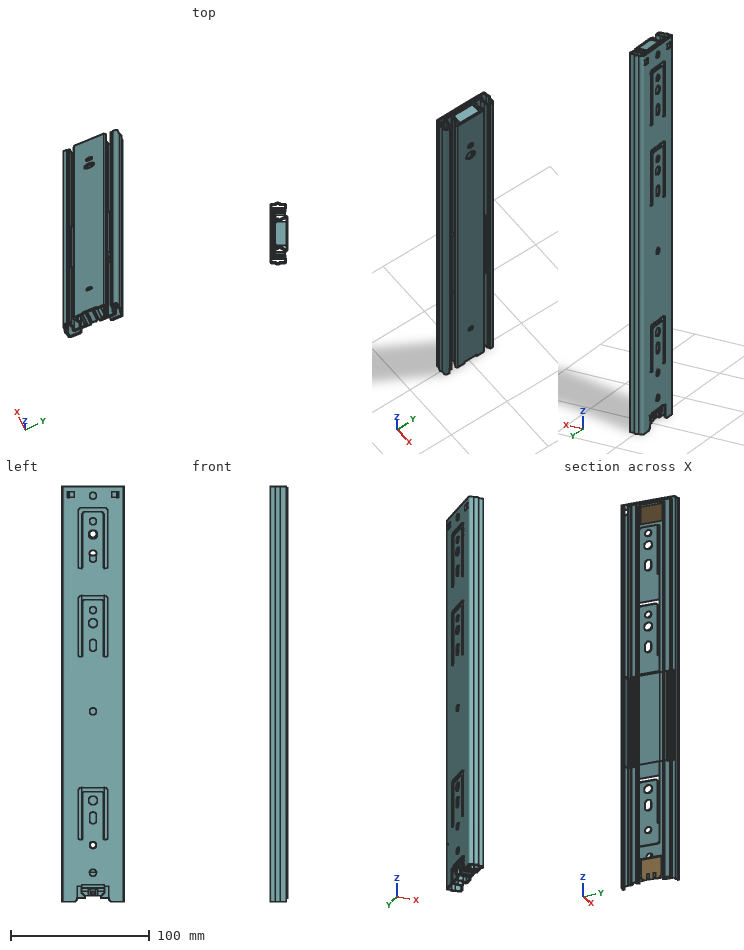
import cadquery as cq


length = 300.0
thickness = 12.7
width = 44.98
sheet = 1.2
race_x = 5.45
race_depth = 0.8
race_width = 3.8

outer_flange_y = width / 2 - race_depth
outer_depth = 11.6
outer_bend = 1.6
lip_y = 18.2

middle_web_x = 2.1
middle_flange_y = 17.2
middle_depth_x = 11.2
middle_bottom = 2.7
foot_opening_y = 5.5
latch_opening_y = 8.4
latch_opening_top = 10.3
latch_slant_bottom = 3.7
latch_slant_top = 6.6
window_half_width = 8.2
window_bottom = 30.0
window_top = 281.0
window_corner = 2.0

inner_bottom = middle_bottom
inner_top = length - 0.9
inner_web_y = 13.0
inner_flange_y = 11.2
inner_flange_x = 8.5
inner_edge_x = 4.2
inner_corner = 1.2
inner_race_x = 6.8
inner_opening_top = 4.3

screw_hole = 5.0
large_hole = 6.4
slot_length = 8.6
screw_hole_heights = (293.2, 274.7, 210.6, 137.5, 41.0, 21.0)
large_hole_heights = (265.2, 201.2, 73.2)
slot_heights = (249.5, 185.2, 60.6)
inner_top_hole_z = 265.6
inner_bottom_hole = 4.4
inner_bottom_hole_z = screw_hole_heights[4]
inner_access_hole = 8.0
inner_access_hole_z = 254.0

tongue_spans = ((240.8, 284.5), (177.0, 221.0), (45.0, 82.5))
tongue_half_width = 10.7
tongue_leg_width = 3.3
tongue_bridge_height = 2.9
tongue_corner = 2.4
tongue_inner_corner = 1.4
tongue_leg_corner = 1.2

edge_window_y = 16.2
edge_window_width = 5.0
edge_window_height = 4.0
edge_window_z = 294.0

notch_half_width = 11.4
notch_height = 11.4
notch_step_half_width = 8.1
notch_step_height = 12.4
notch_flare = 1.5

retainer_sheet = 0.5
retainer_bottom = 95.0
retainer_top = 165.0
retainer_clearance = 0.2
outer_retainer_y = 18.7
outer_retainer_end_x = 9.3
inner_retainer_y = 15.0
inner_retainer_end_x = 10.8

buffer_half_width = 8.7
buffer_back_x = 3.5
buffer_chamfer = 1.0
buffer_bottom = 285.0

stop_half_width = 8.0
stop_bottom = 4.3
stop_top = 21.3
stop_back_x = 5.0
stop_latch_x = 0.9
stop_latch_top = 9.8
stop_slit_y = 2.7
stop_slit_width = 1.6
stop_slit_top = 9.0
stop_bevel = 2.2
stop_step = 0.5
stop_step_z = 7.7
tab_setback = 1.5
tab_slope_bottom = 7.4
tab_slope_top = 9.4
nub_radius = 1.1
nub_z = 6.3


def block(x_from, x_to, y_from, y_to, z_from, z_to):
    size = (x_to - x_from, y_to - y_from, z_to - z_from)
    return cq.Workplane("XY").box(*size, centered=False).translate((x_from, y_from, z_from))


def rod(x, y, radius, z_from, z_to):
    return cq.Workplane("XY").center(x, y).circle(radius).extrude(z_to - z_from).translate((0, 0, z_from))


def holes_along_x(heights, diameter):
    points = [(0, z) for z in heights]
    return cq.Workplane("YZ").pushPoints(points).circle(diameter / 2).extrude(thickness)


def slots_along_x(heights):
    points = [(0, z) for z in heights]
    return cq.Workplane("YZ").pushPoints(points).slot2D(slot_length, screw_hole, 90).extrude(thickness)


race_radius = ((race_width / 2) ** 2 + race_depth ** 2) / (2 * race_depth)


def press_race(rail, center_x, flange_y, direction, z_from, z_to):
    """Press a ball race into both flanges: direction +1 bulges outward, -1 inward.

    flange_y is the half-width of the flange face on the side that bulges."""
    axis_y = flange_y + direction * (race_depth - race_radius)
    for side in (-1, 1):
        bulge = rod(center_x, side * axis_y, race_radius, z_from, z_to)
        groove = rod(center_x, side * axis_y, race_radius - sheet, z_from, z_to)
        face, crest = sorted((flange_y - direction * sheet / 2, flange_y + direction * race_radius))
        near, far = sorted((side * face, side * crest))
        bulge = bulge.intersect(block(0, thickness, near, far, z_from, z_to))
        rail = rail.union(bulge).cut(groove)
    return rail


def tongue_opening(bottom, top):
    """U-shaped opening that leaves a tongue between its two legs."""
    tongue_half = tongue_half_width - tongue_leg_width
    opening = block(0, sheet, -tongue_half_width, tongue_half_width, bottom, top)
    opening = opening.edges("|X and >Z").fillet(tongue_corner)
    tongue = block(0, sheet, -tongue_half, tongue_half, bottom, top - tongue_bridge_height)
    opening = opening.cut(tongue.edges("|X and >Z").fillet(tongue_inner_corner))
    return opening.edges("|X and <Z").fillet(tongue_leg_corner)


def bottom_notch():
    foot = notch_half_width + notch_flare
    points = [
        (-foot, 0), (-notch_half_width, notch_flare), (-notch_half_width, notch_height),
        (-notch_step_half_width, notch_height), (-notch_step_half_width, notch_step_height),
        (notch_step_half_width, notch_step_height), (notch_step_half_width, notch_height),
        (notch_half_width, notch_height), (notch_half_width, notch_flare), (foot, 0),
    ]
    return cq.Workplane("YZ").polyline(points).close().extrude(sheet)


def make_outer_rail():
    inside_y = outer_flange_y - sheet
    rail = block(0, outer_depth, -outer_flange_y, outer_flange_y, 0, length)
    rail = rail.edges("|Z").fillet(outer_bend)
    cavity = block(sheet, outer_depth - sheet, -inside_y, inside_y, 0, length)
    cavity = cavity.edges("|Z").fillet(outer_bend - sheet)
    rail = rail.cut(cavity)
    rail = rail.cut(block(outer_depth - sheet, outer_depth, -lip_y, lip_y, 0, length))
    rail = press_race(rail, race_x, outer_flange_y, 1, 0, length)
    rail = rail.cut(holes_along_x(screw_hole_heights, screw_hole))
    rail = rail.cut(holes_along_x(large_hole_heights, large_hole))
    rail = rail.cut(slots_along_x(slot_heights))
    for bottom, top in tongue_spans:
        rail = rail.cut(tongue_opening(bottom, top))
    edge_windows = (
        cq.Workplane("YZ").pushPoints([(side * edge_window_y, edge_window_z) for side in (-1, 1)])
        .rect(edge_window_width, edge_window_height).extrude(sheet)
    )
    return rail.cut(edge_windows).cut(bottom_notch())


def latch_opening():
    """Opening at the foot of the intermediate web that widens upward around the stop's latch."""
    points = [
        (-foot_opening_y, 0), (-foot_opening_y, latch_slant_bottom), (-latch_opening_y, latch_slant_top),
        (-latch_opening_y, latch_opening_top), (latch_opening_y, latch_opening_top),
        (latch_opening_y, latch_slant_top), (foot_opening_y, latch_slant_bottom), (foot_opening_y, 0),
    ]
    return cq.Workplane("YZ").polyline(points).close().extrude(thickness)


def make_intermediate_rail():
    inside_y = middle_flange_y - sheet
    rail = block(middle_web_x, middle_depth_x, -middle_flange_y, middle_flange_y, middle_bottom, length)
    rail = rail.edges("|Z and <X").fillet(outer_bend)
    rail = rail.cut(block(middle_web_x + sheet, middle_depth_x, -inside_y, inside_y, middle_bottom, length))
    rail = press_race(rail, race_x, inside_y, -1, middle_bottom, length)
    window = block(0, thickness, -window_half_width, window_half_width, window_bottom, window_top)
    rail = rail.cut(window.edges("|X").fillet(window_corner))
    rail = rail.cut(holes_along_x((screw_hole_heights[0], screw_hole_heights[-1]), screw_hole))
    return rail.cut(latch_opening())


def mirrored_profile(half_outline, z_from, z_to):
    """Extrude along Z the outline given by its +Y half and the mirror image of that half."""
    mirrored = [(x, -y) for x, y in reversed(half_outline)]
    profile = cq.Workplane("XY").polyline(half_outline + mirrored).close()
    return profile.extrude(z_to - z_from).translate((0, 0, z_from))


def make_inner_rail():
    inside_y = inner_flange_y - sheet
    web_x = thickness - sheet
    outside = [
        (thickness, inner_web_y - inner_corner), (thickness - inner_corner, inner_web_y),
        (inner_flange_x, inner_flange_y), (inner_edge_x, inner_flange_y),
    ]
    inside = [(web_x, inner_flange_y), (inner_flange_x, inside_y), (inner_edge_x, inside_y)]
    rail = mirrored_profile(outside, inner_bottom, inner_top)
    rail = rail.cut(mirrored_profile(inside, inner_bottom, inner_top))
    rail = press_race(rail, inner_race_x, inside_y, -1, inner_bottom, inner_top)
    rail = rail.cut(holes_along_x((inner_top_hole_z,), screw_hole))
    rail = rail.cut(holes_along_x((inner_bottom_hole_z,), inner_bottom_hole))
    rail = rail.cut(holes_along_x((inner_access_hole_z,), inner_access_hole))
    return rail.cut(block(0, thickness, -foot_opening_y, foot_opening_y, 0, inner_opening_top))


def make_retainer(web_x, end_x, half_width, arm_width):
    """Channel with a thin web and an arm on each side, lying between two rails."""
    retainer = block(web_x, end_x, -half_width, half_width, retainer_bottom, retainer_top)
    inside_y = half_width - arm_width
    return retainer.cut(
        block(web_x + retainer_sheet, end_x, -inside_y, inside_y, retainer_bottom, retainer_top)
    )


def make_buffer():
    buffer = block(
        buffer_back_x, thickness - sheet, -buffer_half_width, buffer_half_width, buffer_bottom, inner_top
    )
    return buffer.edges("|Z and <X").chamfer(buffer_chamfer)


def stop_tab_relief():
    """Space in front of the middle tab, whose face slopes back and then runs down."""
    half_tab = stop_slit_y - stop_slit_width / 2
    tab_x = stop_latch_x + tab_setback
    points = [
        (stop_latch_x, 0), (tab_x, 0), (tab_x, tab_slope_bottom), (stop_latch_x, tab_slope_top),
    ]
    relief = cq.Workplane("XZ").polyline(points).close().extrude(half_tab, both=True)
    nub = cq.Workplane("XY").sphere(nub_radius).translate((tab_x, 0, nub_z))
    return relief.cut(nub)


def make_stop():
    web_x = thickness - sheet
    stop = block(stop_back_x, web_x, -stop_half_width, stop_half_width, stop_bottom, stop_top)
    stop = stop.union(
        block(stop_latch_x, stop_back_x, -stop_half_width, stop_half_width, stop_bottom, stop_latch_top)
    )
    stop = stop.edges("|X and <Z").chamfer(stop_bevel)
    for side in (-1, 1):
        slit_y = side * stop_slit_y
        near, far = sorted((slit_y, side * stop_half_width))
        stop = stop.cut(block(stop_latch_x, stop_latch_x + stop_step, near, far, 0, stop_step_z))
        left, right = slit_y - stop_slit_width / 2, slit_y + stop_slit_width / 2
        stop = stop.cut(block(stop_latch_x, web_x, left, right, 0, stop_slit_top))
    return stop.cut(stop_tab_relief())


outer_rail = make_outer_rail()
intermediate_rail = make_intermediate_rail()
inner_rail = make_inner_rail()
outer_retainer = make_retainer(
    sheet + retainer_clearance, outer_retainer_end_x, outer_retainer_y,
    outer_retainer_y - middle_flange_y - retainer_clearance,
)
inner_retainer = make_retainer(
    middle_web_x + sheet + retainer_clearance, inner_retainer_end_x, inner_retainer_y,
    inner_retainer_y - inner_web_y - retainer_clearance,
)
buffer = make_buffer()
stop = make_stop()

result = cq.Compound.makeCompound([
    outer_rail.val(), intermediate_rail.val(), inner_rail.val(),
    outer_retainer.val(), inner_retainer.val(), buffer.val(), stop.val(),
])